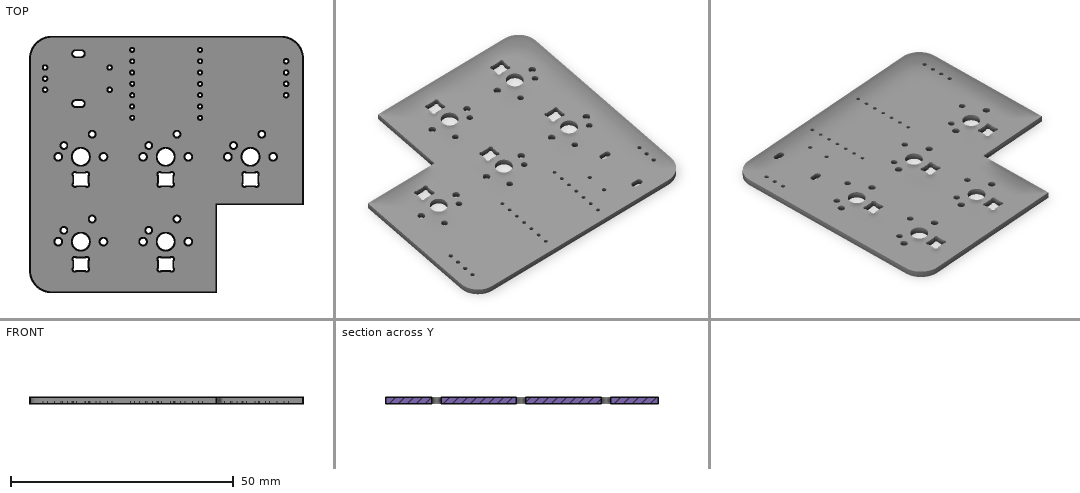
import cadquery as cq

BOARD_WIDTH = 61.41
BOARD_DEPTH = 57.48
THICKNESS = 1.51
CORNER_RADIUS = 5.0
NOTCH_WIDTH = 19.5
NOTCH_DEPTH = 19.8

KEY_PITCH = 19.05
FIRST_KEY_X = 11.47
FIRST_KEY_Y = 30.47
KEYS_PER_ROW = (3, 2)

STEM_DIAMETER = 4.0
PEG_DIAMETER = 1.7
PEG_OFFSET = 5.08
CONTACT_DIAMETER = 1.5
CONTACT_GRID = 1.27
CONTACT_OFFSETS = (
    (-3 * CONTACT_GRID, 2 * CONTACT_GRID),
    (2 * CONTACT_GRID, 4 * CONTACT_GRID),
)

WINDOW_WIDTH = 3.4
WINDOW_HEIGHT = 3.0
WINDOW_DROP = 5.08
RELIEF_RADIUS = 0.5
RELIEF_INSET = 0.35

PIN_PITCH = 2.54
MODULE_PIN_DIAMETER = 0.89
MODULE_PIN_COUNT = 7
MODULE_COLUMN_SPACING = 6 * PIN_PITCH
MODULE_LEFT_X = 23.0
MODULE_CENTRE_Y = 46.86

HEADER_PIN_DIAMETER = 1.0
HEADER_PIN_COUNT = 4
HEADER_X = 57.57
HEADER_CENTRE_Y = MODULE_CENTRE_Y + PIN_PITCH / 2

ENCODER_X = 10.93
ENCODER_Y = 48.03
ENCODER_PIN_DIAMETER = 1.0
ENCODER_PIN_PITCH = 2.5
ENCODER_SIGNAL_COUNT = 3
ENCODER_SWITCH_COUNT = 2
ENCODER_SIGNAL_OFFSET = -7.5
ENCODER_SWITCH_OFFSET = 7.0
SLOT_LENGTH = 2.8
SLOT_WIDTH = 1.5
SLOT_SPACING = 11.2


def make_board():
    """Rectangular plate with three round corners and a notch at the lower right."""
    plate = cq.Workplane("XY").box(BOARD_WIDTH, BOARD_DEPTH, THICKNESS, centered=False)
    plate = plate.edges("|Z and (<X or >Y)").fillet(CORNER_RADIUS)
    notch = (
        cq.Workplane("XY")
        .box(NOTCH_WIDTH, NOTCH_DEPTH, THICKNESS, centered=False)
        .translate((BOARD_WIDTH - NOTCH_WIDTH, 0, 0))
    )
    return plate.cut(notch)


def key_centres():
    return [
        (FIRST_KEY_X + column * KEY_PITCH, FIRST_KEY_Y - row * KEY_PITCH)
        for row, count in enumerate(KEYS_PER_ROW)
        for column in range(count)
    ]


def pin_column(x, centre_y, count, pitch):
    """Points of an evenly spaced column of pins, centred on centre_y."""
    lowest = centre_y - (count - 1) * pitch / 2
    return [(x, lowest + i * pitch) for i in range(count)]


def drill(board, points, diameter):
    pins = cq.Workplane("XY").pushPoints(points).circle(diameter / 2).extrude(THICKNESS)
    return board.cut(pins)


def cut_switch(board, x, y):
    board = drill(board, [(x, y)], STEM_DIAMETER)
    board = drill(board, [(x - PEG_OFFSET, y), (x + PEG_OFFSET, y)], PEG_DIAMETER)
    contacts = [(x + dx, y + dy) for dx, dy in CONTACT_OFFSETS]
    return drill(board, contacts, CONTACT_DIAMETER)


def cut_window(board, x, y):
    """Rectangular opening with a round relief at every corner."""
    centre = cq.Workplane("XY").center(x, y)
    opening = centre.rect(WINDOW_WIDTH, WINDOW_HEIGHT).extrude(THICKNESS)
    relief_span_x = WINDOW_WIDTH - 2 * RELIEF_INSET
    relief_span_y = WINDOW_HEIGHT - 2 * RELIEF_INSET
    reliefs = (
        centre.rect(relief_span_x, relief_span_y, forConstruction=True)
        .vertices()
        .circle(RELIEF_RADIUS)
        .extrude(THICKNESS)
    )
    return board.cut(opening.union(reliefs))


def cut_module_pins(board):
    for x in (MODULE_LEFT_X, MODULE_LEFT_X + MODULE_COLUMN_SPACING):
        points = pin_column(x, MODULE_CENTRE_Y, MODULE_PIN_COUNT, PIN_PITCH)
        board = drill(board, points, MODULE_PIN_DIAMETER)
    return board


def cut_header_pins(board):
    points = pin_column(HEADER_X, HEADER_CENTRE_Y, HEADER_PIN_COUNT, PIN_PITCH)
    return drill(board, points, HEADER_PIN_DIAMETER)


def cut_encoder(board):
    signal_x = ENCODER_X + ENCODER_SIGNAL_OFFSET
    switch_x = ENCODER_X + ENCODER_SWITCH_OFFSET
    switch_pitch = 2 * ENCODER_PIN_PITCH
    pins = pin_column(signal_x, ENCODER_Y, ENCODER_SIGNAL_COUNT, ENCODER_PIN_PITCH)
    pins += pin_column(switch_x, ENCODER_Y, ENCODER_SWITCH_COUNT, switch_pitch)
    board = drill(board, pins, ENCODER_PIN_DIAMETER)
    slots = (
        cq.Workplane("XY")
        .pushPoints(pin_column(ENCODER_X, ENCODER_Y, 2, SLOT_SPACING))
        .slot2D(SLOT_LENGTH, SLOT_WIDTH)
        .extrude(THICKNESS)
    )
    return board.cut(slots)


result = make_board()
for key_x, key_y in key_centres():
    result = cut_switch(result, key_x, key_y)
    result = cut_window(result, key_x, key_y - WINDOW_DROP)
result = cut_module_pins(result)
result = cut_header_pins(result)
result = cut_encoder(result)